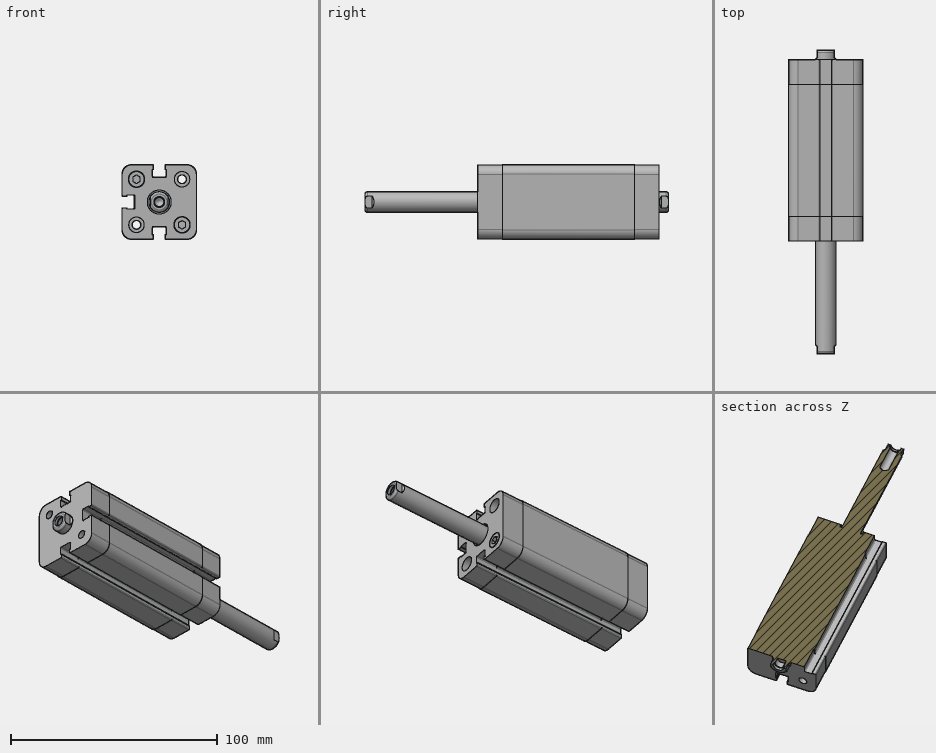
import cadquery as cq
import math

total_length = 147.0
body_length = 87.9
rear_rod_length = 4.5
front_rod_length = total_length - body_length - rear_rod_length
cap_length = 12.0
rear_end = total_length / 2
front_end = -total_length / 2
front_face = front_end + front_rod_length
rear_face = front_face + body_length

barrel_side = 36.2
cap_inset = 0.1
cap_side = barrel_side - 2 * cap_inset
corner_radius = 4.5

slot_neck_width = 5.6
slot_neck_depth = 2.4
slot_width = 6.6
barrel_slot_depth = 5.9
cap_slot_depth = 6.3
slot_mouth_radius = 0.5
slot_floor_radius = 0.5

corner_spacing = 22.0
through_diameter = 4.1
counterbore_diameter = 7.5
counterbore_depth = 5.0
screw_pocket_diameter = 8.0
screw_head_diameter = 7.5
hex_across_corners = 4.1
hex_depth = 2.0

rod_diameter = 10.0
rod_end_radius = 1.2
flat_spacing = 8.2
flat_length = 3.5
rod_bore_diameter = 4.4
rod_counterbore_diameter = 5.3
rod_counterbore_depth = 1.5
rod_bore_depth = 14.7
drill_point_angle = 118.0

gland_diameter = 11.6
gland_depth = 1.5


def cylinder(diameter, start, end, x=0.0, z=0.0):
    """Round bar along Y from start to end."""
    circle = cq.Workplane("XZ", origin=(x, start, z)).circle(diameter / 2)
    return circle.extrude(start - end)


def slot_cutter(side, depth, start, end):
    """T-slot on the +Z side of a bar, with a rounded mouth and rounded floor corners."""
    surface = side / 2
    neck_floor = barrel_side / 2 - slot_neck_depth
    floor = barrel_side / 2 - depth
    neck_x = slot_neck_width / 2
    wide_x = slot_width / 2
    mouth_x = neck_x + slot_mouth_radius
    mouth_floor = surface - slot_mouth_radius
    arc_offset = slot_mouth_radius * (1 - math.sqrt(0.5))
    profile = (
        cq.Workplane("XZ", origin=(0, start, 0))
        .moveTo(-mouth_x, surface)
        .threePointArc((-neck_x - arc_offset, surface - arc_offset), (-neck_x, mouth_floor))
        .lineTo(-neck_x, neck_floor)
        .lineTo(-wide_x, neck_floor)
        .lineTo(-wide_x, floor)
        .lineTo(wide_x, floor)
        .lineTo(wide_x, neck_floor)
        .lineTo(neck_x, neck_floor)
        .lineTo(neck_x, mouth_floor)
        .threePointArc((neck_x + arc_offset, surface - arc_offset), (mouth_x, surface))
        .close()
    )
    cutter = profile.extrude(start - end)
    return cutter.faces("<Z").edges("|Y").fillet(slot_floor_radius)


def slotted_bar(side, slot_depth, start, end):
    """Square bar with rounded long edges and T-slots on the +Z, -X and -Z sides."""
    bar = cq.Workplane("XZ", origin=(0, start, 0)).rect(side, side).extrude(start - end)
    bar = bar.edges("|Y").fillet(corner_radius)
    slot = slot_cutter(side, slot_depth, start, end)
    for angle in (0, -90, 180):
        bar = bar.cut(slot.rotate((0, 0, 0), (0, 1, 0), angle))
    return bar


def housing():
    """Barrel between two end caps, with a clearance ring for the rod."""
    front_cap_end = front_face + cap_length
    rear_cap_start = rear_face - cap_length
    front_cap = slotted_bar(cap_side, cap_slot_depth, front_face, front_cap_end)
    barrel = slotted_bar(barrel_side, barrel_slot_depth, front_cap_end, rear_cap_start)
    rear_cap = slotted_bar(cap_side, cap_slot_depth, rear_cap_start, rear_face)
    gland = cylinder(gland_diameter, front_face, front_face + gland_depth)
    return front_cap.union(barrel).union(rear_cap).cut(gland)


def through_hole(x, z):
    """Cutter for a counterbored hole through the whole housing."""
    counterbore = cylinder(counterbore_diameter, front_face, front_face + counterbore_depth, x, z)
    return counterbore.union(cylinder(through_diameter, front_face, rear_face, x, z))


def screw_pocket(x, z):
    """Cutter for the blind pocket around a screw head."""
    return cylinder(screw_pocket_diameter, front_face, front_face + counterbore_depth, x, z)


def screw_head(x, z):
    """Socket screw head standing on the floor of its pocket, flush with the front face."""
    head = cylinder(screw_head_diameter, front_face, front_face + counterbore_depth, x, z)
    socket = (
        cq.Workplane("XZ", origin=(x, front_face, z))
        .transformed(rotate=(0, 0, 30))
        .polygon(6, hex_across_corners)
        .extrude(-hex_depth)
    )
    return head.cut(socket)


def rod_end_bore():
    """Cutter for a counterbored blind hole with a conical bottom in the front rod end."""
    bore_radius = rod_bore_diameter / 2
    mouth_radius = rod_counterbore_diameter / 2
    step = front_end + rod_counterbore_depth
    bore_end = front_end + rod_bore_depth
    point_depth = bore_radius / math.tan(math.radians(drill_point_angle / 2))
    profile = (
        cq.Workplane("XY")
        .moveTo(0, front_end)
        .lineTo(mouth_radius, front_end)
        .lineTo(mouth_radius, step)
        .lineTo(bore_radius, step)
        .lineTo(bore_radius, bore_end)
        .lineTo(0, bore_end + point_depth)
        .close()
    )
    return profile.revolve(360, (0, 0, 0), (0, 1, 0))


def wrench_flat():
    """Cutter for the flat on the +X side of the front rod end, with a 45 degree run-out."""
    flat_x = flat_spacing / 2
    outer_x = rod_diameter
    flat_end = front_end + flat_length
    profile = (
        cq.Workplane("XY")
        .moveTo(flat_x, front_end)
        .lineTo(outer_x, front_end)
        .lineTo(outer_x, flat_end + outer_x - flat_x)
        .lineTo(flat_x, flat_end)
        .close()
    )
    return profile.extrude(rod_diameter, both=True)


def piston_rod():
    """Rod through the whole cylinder, with the same flats, rounding and bore at both ends."""
    rod = cylinder(rod_diameter, front_end, rear_end).faces("<Y or >Y").edges().fillet(rod_end_radius)
    flat = wrench_flat()
    end_cuts = rod_end_bore().union(flat).union(flat.mirror("YZ"))
    return rod.cut(end_cuts).cut(end_cuts.mirror("XZ"))


result = housing()
for side_x in (-1, 1):
    for side_z in (-1, 1):
        hole_x = side_x * corner_spacing / 2
        hole_z = side_z * corner_spacing / 2
        if side_x == side_z:
            result = result.cut(through_hole(hole_x, hole_z))
        else:
            result = result.cut(screw_pocket(hole_x, hole_z)).union(screw_head(hole_x, hole_z))
result = result.union(piston_rod())